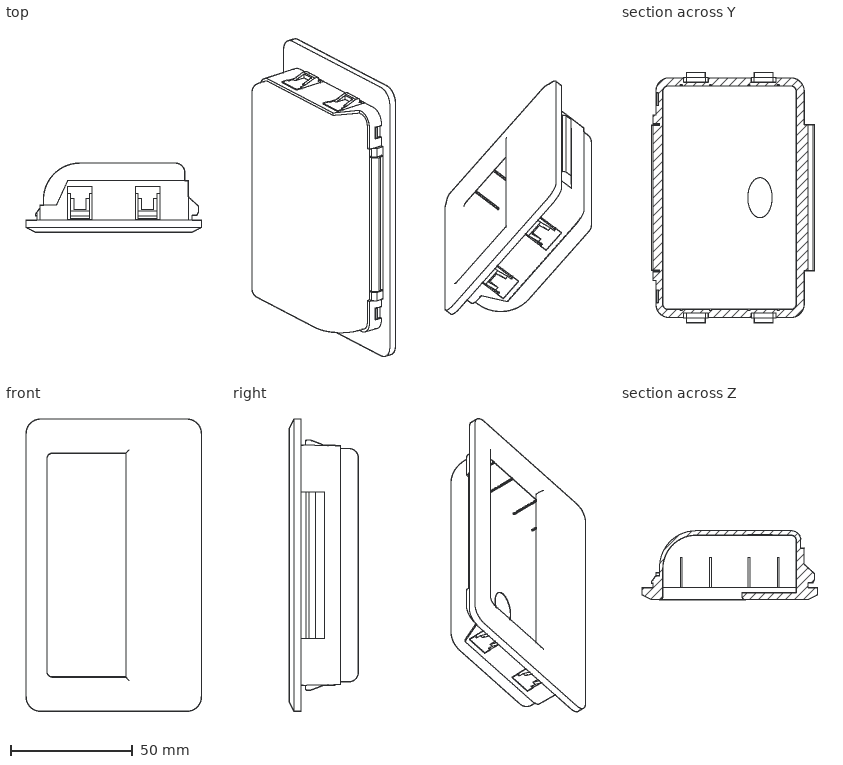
import cadquery as cq


width = 72.0
height = 120.0
depth = 28.5
flange_thickness = 5.0
flange_corner_radius = 6.0
bevel_inset = 4.0
bevel_depth = 2.0
bevel_edge_radius = 1.0

wall = 2.0
shell_left = -28.9
shell_right = 29.2
shell_half_height = 47.9
shell_edge_radius = 4.0
shell_arc_radius = 15.1
cavity_half_height = 45.75

mouth_left = -27.4
mouth_right = 5.0
mouth_half_height = 46.0
mouth_corner_radius = 2.3
mouth_edge_radius = 1.5
lip_thickness = 3.0

floor_oval_width = 10.0
floor_oval_height = 16.4
floor_oval_x = 12.4
floor_oval_depth = 0.2

skirt_left = -30.3
skirt_right = 30.6
skirt_corner_radius = 5.5
skirt_base_half_height = 49.3
skirt_back_half_height = 49.0
skirt_back = 21.2
skirt_low_back = 11.2
skirt_slope_start_x = -23.5
skirt_slope_end_x = -18.9

clip_offset = 13.9
clip_pad_half_height = 49.4
clip_pad_width = 10.0
clip_pad_back = 18.9
clip_tongue_width = 7.8
clip_tongue_front = 5.8
clip_slot_front = 5.2
clip_slot_back = 16.0
clip_slot_depth = 2.0
clip_ramp_back = 14.0
clip_ramp_crest = 8.7
clip_ramp_front = 6.7
clip_ramp_rise = 2.0
clip_crest_radius = 0.8
clip_notch_width = 4.9
clip_notch_front = 9.3
clip_groove_offset = 6.0
clip_groove_width = 0.7
clip_groove_back = 17.3
clip_groove_depth = 0.5

catch_gap_half_height = 34.0
catch_back = 10.0
catch_slit_inner = 29.8
catch_slit_outer = 30.3
hook_tip_x = -32.1
hook_slope_front = 7.6
hook_nose_front = 6.8
catch_rest_x = -31.5
rest_slope_front = 8.2

window_low = 37.9
window_high = 43.0
window_back = 8.0
window_step = 6.6
window_depth = 0.5
window_step_depth = 1.0

latch_half_height = 30.0
latch_base_back = 14.6
latch_tip_x = 34.8
latch_tip_back = 10.8
latch_tip_front = 8.3
latch_nose_x = 34.1
latch_nose_front = 7.0
latch_neck_x = 32.2


def block(x_range, y_range, z_range):
    """Box given by its limits along each axis."""
    size = [high - low for low, high in (x_range, y_range, z_range)]
    corner = (x_range[0], y_range[0], z_range[0])
    return cq.Workplane("XY").box(*size, centered=False).translate(corner)


def prism_along_z(points, z_low, z_high):
    """Polygon of (x, y) points extruded between two heights."""
    outline = cq.Workplane("XY").workplane(offset=z_low).polyline(points).close()
    return outline.extrude(z_high - z_low)


def make_flange():
    flange = (
        cq.Workplane("XZ")
        .rect(width, height)
        .extrude(-flange_thickness)
        .edges("|Y")
        .fillet(flange_corner_radius)
    )
    flange = flange.faces("<Y").chamfer(bevel_depth, bevel_inset)
    return flange.faces("<Y").edges().fillet(bevel_edge_radius)


def make_bulge(left, right, front, back, half_height, arc_radius, edge_radius):
    """Rounded block whose back-left edge is a large arc; its front stays open and sharp."""
    outline = (
        cq.Workplane("XY")
        .workplane(offset=-half_height)
        .moveTo(left, front)
        .lineTo(left, back - arc_radius)
        .radiusArc((left + arc_radius, back), arc_radius)
        .lineTo(right, back)
        .lineTo(right, front)
        .close()
    )
    bulge = outline.extrude(2 * half_height)
    outline_edges = bulge.faces("|Z").edges("not <Y")
    return outline_edges.add(bulge.edges("|Z and >X and >Y")).fillet(edge_radius)


def make_skirt():
    tapered = (
        cq.Workplane("YZ")
        .workplane(offset=skirt_left)
        .polyline([
            (flange_thickness, -skirt_base_half_height),
            (skirt_back, -skirt_back_half_height),
            (skirt_back, skirt_back_half_height),
            (flange_thickness, skirt_base_half_height),
        ])
        .close()
        .extrude(skirt_right - skirt_left)
        .edges("not (|X or |Z)")
        .fillet(skirt_corner_radius)
    )
    side_outline = [
        (skirt_left, flange_thickness),
        (skirt_left, skirt_low_back),
        (skirt_slope_start_x, skirt_low_back),
        (skirt_slope_end_x, skirt_back),
        (skirt_right, skirt_back),
        (skirt_right, flange_thickness),
    ]
    skirt = tapered.intersect(
        prism_along_z(side_outline, -skirt_base_half_height, skirt_base_half_height)
    )
    catch_gap = block(
        (skirt_left, shell_left),
        (flange_thickness, skirt_low_back),
        (-catch_gap_half_height, catch_gap_half_height),
    )
    return skirt.cut(catch_gap)


def make_left_catches():
    """Long central hook with a shorter rest at each end, split by narrow slits."""
    slope_start = (skirt_left, catch_back)
    hook = prism_along_z(
        [
            (shell_left, flange_thickness),
            (shell_left, catch_back),
            slope_start,
            (hook_tip_x, hook_slope_front),
            (hook_tip_x, hook_nose_front),
            (catch_rest_x, hook_nose_front),
            (catch_rest_x, flange_thickness),
        ],
        -catch_slit_inner,
        catch_slit_inner,
    )
    rest_outline = [
        (shell_left, flange_thickness),
        (shell_left, catch_back),
        slope_start,
        (catch_rest_x, rest_slope_front),
        (catch_rest_x, flange_thickness),
    ]
    upper_rest = prism_along_z(rest_outline, catch_slit_outer, catch_gap_half_height)
    return hook.union(upper_rest).union(upper_rest.mirror("XY"))


def make_latch():
    return prism_along_z(
        [
            (shell_right, flange_thickness),
            (shell_right, latch_base_back),
            (skirt_right, latch_base_back),
            (latch_tip_x, latch_tip_back),
            (latch_tip_x, latch_tip_front),
            (latch_nose_x, latch_nose_front),
            (latch_neck_x, latch_nose_front),
            (latch_neck_x, flange_thickness),
        ],
        -latch_half_height,
        latch_half_height,
    )


def make_cavity():
    """Hollow of the shell, with a slightly taller throat inside the flange."""
    right = shell_right - wall
    cavity_arc_radius = shell_left + shell_arc_radius - mouth_left
    edge_radius = shell_edge_radius - wall
    main = make_bulge(
        mouth_left,
        right,
        flange_thickness,
        depth - wall,
        cavity_half_height,
        cavity_arc_radius,
        edge_radius,
    )
    throat = block(
        (mouth_left, right),
        (lip_thickness, flange_thickness),
        (-mouth_half_height, mouth_half_height),
    )
    throat = throat.edges("|Y and <X").fillet(mouth_corner_radius)
    return main.union(throat.edges("|Y and >X").fillet(edge_radius))


def cut_mouth(body):
    """Finger opening with two round left corners and a rounded rim."""
    mouth = block(
        (mouth_left, mouth_right),
        (0, flange_thickness),
        (-mouth_half_height, mouth_half_height),
    )
    opened = body.cut(mouth.edges("|Y and <X").fillet(mouth_corner_radius))
    rim_box = cq.selectors.BoxSelector(
        (mouth_left - wall, -wall, -shell_half_height),
        (mouth_right + wall, wall, shell_half_height),
        boundingbox=True,
    )
    return opened.edges(rim_box).fillet(mouth_edge_radius)


def clip_pad(x_center):
    """Flat pad carrying a notched snap ramp, on the upper end."""
    base_z = clip_pad_half_height
    half_pad = clip_pad_width / 2
    half_tongue = clip_tongue_width / 2
    half_notch = clip_notch_width / 2
    pad = block(
        (x_center - half_pad, x_center + half_pad),
        (flange_thickness, clip_pad_back),
        (shell_half_height, base_z),
    )
    crest_z = base_z + clip_ramp_rise
    ramp = (
        cq.Workplane("YZ")
        .workplane(offset=x_center - half_tongue)
        .polyline([
            (clip_ramp_back, base_z),
            (clip_ramp_crest, crest_z),
            (clip_ramp_front, crest_z),
            (clip_ramp_front, base_z),
        ])
        .close()
        .extrude(clip_tongue_width)
        .edges("|X and >Z and <Y")
        .fillet(clip_crest_radius)
    )
    notch = block(
        (x_center - half_notch, x_center + half_notch),
        (clip_notch_front, clip_ramp_back),
        (base_z, crest_z),
    )
    return pad.union(ramp.cut(notch))


def clip_slot(x_center):
    """U-shaped channel in the upper pad that outlines the clip tongue."""
    half_pad = clip_pad_width / 2
    half_tongue = clip_tongue_width / 2
    z_range = (clip_pad_half_height - clip_slot_depth, clip_pad_half_height)
    slot = block(
        (x_center - half_pad, x_center + half_pad), (clip_slot_front, clip_slot_back), z_range
    )
    tongue = block(
        (x_center - half_tongue, x_center + half_tongue),
        (clip_tongue_front, clip_slot_back),
        z_range,
    )
    return slot.cut(tongue)


def clip_grooves(x_center):
    """Pair of narrow grooves inside the upper cavity wall, one on each side of a clip."""
    grooves = cq.Workplane("XY")
    for offset in (-clip_groove_offset, clip_groove_offset):
        x_low = x_center + offset - clip_groove_width / 2
        groove = block(
            (x_low, x_low + clip_groove_width),
            (flange_thickness, clip_groove_back),
            (cavity_half_height, cavity_half_height + clip_groove_depth),
        )
        grooves = grooves.add(groove)
    return grooves.combine()


def skirt_window():
    """Stepped pocket in the left side of the skirt, above the catches."""
    shallow = block(
        (skirt_left, skirt_left + window_depth),
        (flange_thickness, window_back),
        (window_low, window_high),
    )
    deep = block(
        (skirt_left, skirt_left + window_step_depth),
        (flange_thickness, window_step),
        (window_low, window_high),
    )
    return shallow.union(deep)


def make_handle():
    shell = make_bulge(
        shell_left,
        shell_right,
        flange_thickness,
        depth,
        shell_half_height,
        shell_arc_radius,
        shell_edge_radius,
    )
    handle = make_flange().union(shell).union(make_skirt())
    handle = handle.union(make_left_catches()).union(make_latch())
    handle = cut_mouth(handle.cut(make_cavity()))
    for x_center in (-clip_offset, clip_offset):
        pad = clip_pad(x_center)
        recesses = clip_slot(x_center).union(clip_grooves(x_center))
        handle = handle.union(pad).union(pad.mirror("XY"))
        handle = handle.cut(recesses).cut(recesses.mirror("XY"))
    window = skirt_window()
    handle = handle.cut(window).cut(window.mirror("XY"))
    floor_oval = (
        cq.Workplane("XZ", origin=(floor_oval_x, depth - wall, 0))
        .ellipse(floor_oval_width / 2, floor_oval_height / 2)
        .extrude(-floor_oval_depth)
    )
    return handle.cut(floor_oval)


result = make_handle()